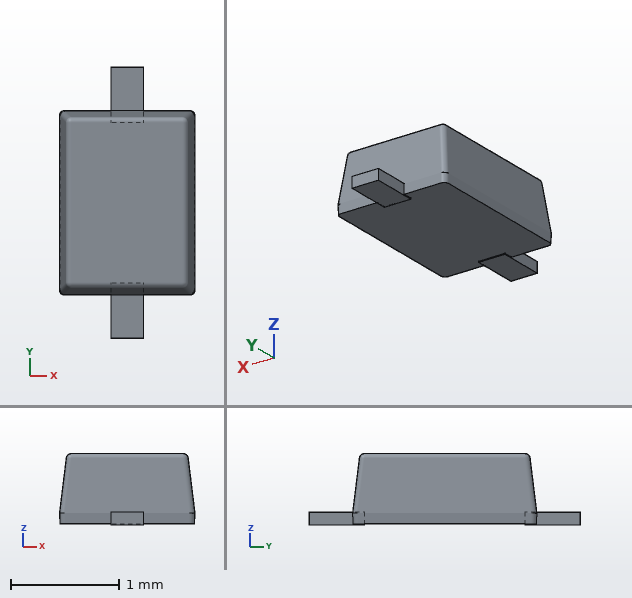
import cadquery as cq

body_width = 1.25
body_length = 1.7
standoff = 0.01
total_height = 0.66
base_height = 0.1
upper_draft_angle = 7.0
lower_draft_angle = 3.0
edge_radius = 0.05

lead_span = 2.5
lead_width = 0.3
lead_thickness = 0.12
lead_length = 0.51

parting_z = standoff + base_height
lead_centre_y = (lead_span - lead_length) / 2


def make_lead(side):
    """Flat lead lying at z = 0, at the +Y end (side = 1) or the -Y end (side = -1)."""
    return (
        cq.Workplane("XY")
        .center(0, side * lead_centre_y)
        .rect(lead_width, lead_length)
        .extrude(lead_thickness)
    )


def drafted_block(height, draft_angle):
    """Rectangular block that narrows away from the parting plane; negative height goes down."""
    return (
        cq.Workplane("XY", origin=(0, 0, parting_z))
        .rect(body_width, body_length)
        .extrude(height, taper=draft_angle)
    )


def make_body(leads):
    """Two drafted blocks meeting at the parting plane, rounded, with a pocket for each lead."""
    upper = drafted_block(total_height - parting_z, upper_draft_angle)
    lower = drafted_block(-base_height, lower_draft_angle)
    body = upper.union(lower)
    body = body.edges(">Z or (not (|X or |Y))").fillet(edge_radius)
    for lead in leads:
        body = body.cut(lead)
    return body


leads = [make_lead(side) for side in (1, -1)]
body = make_body(leads)

result = cq.Compound.makeCompound([body.val(), *[lead.val() for lead in leads]])